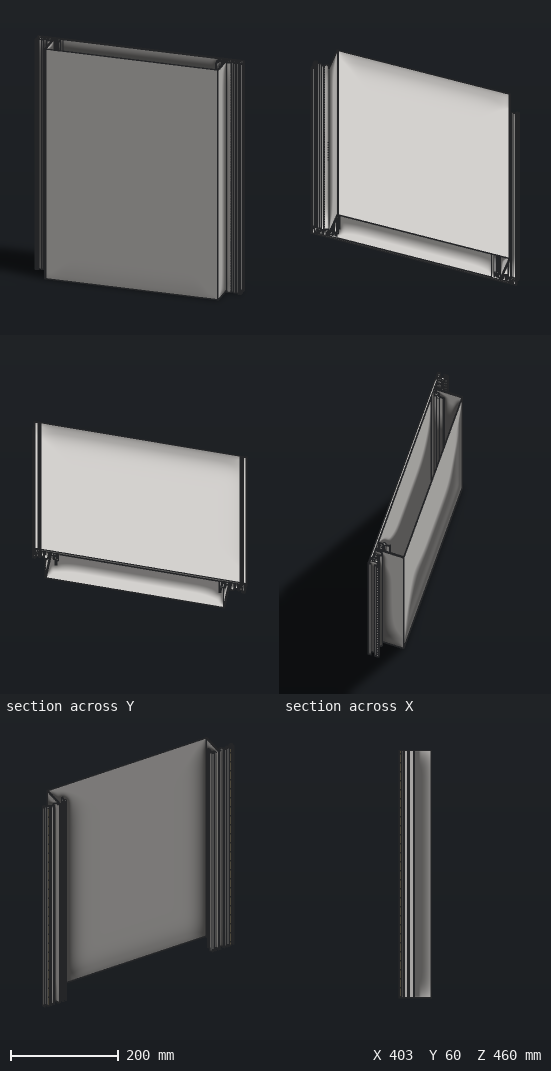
import cadquery as cq

HEIGHT = 460.0
WIDTH = 403.0
DEPTH = 60.0
HALF_WIDTH = WIDTH / 2

PANEL_THICKNESS = 4.0
SHEET_METAL = 1.0
WALL = 1.55

PANEL_INSET = 13.0
SHEET_INSET = 49.5
TRAY_INSET = 31.5
TRAY_BEND = 1.5

WEB_START = 6.7
WEB_WALL = 2.5
WEB_END = WEB_START + WEB_WALL
UPPER_LIP_END = 5.5
LOWER_LIP_START = 13.0
FLANGE_END = 18.0

PRONG_WIDTH = 2.0
PRONG_PITCH = 4.5
PRONG_SHOULDER = 20.2
PRONG_TIP = 21.4

INNER_WALL_START = 9.5
INNER_WALL_END = 11.0
INNER_WALL_TOP = 0.5
SLOT_END = 11.0
FLOOR_BOTTOM = 16.8
FLOOR_TOP = FLOOR_BOTTOM - WALL

PANEL_RIB_START = 14.05
PANEL_RIB_END = PANEL_RIB_START + WALL
BEAD_START = 20.0
BEAD_WIDTH = 2.8
BEAD_TOP = 5.5
BEAD_BOTTOM = 10.0
STEM_WIDTH = 1.5
CHORD_BOTTOM = 15.0
FOOT_START = 12.0
FOOT_MID_DEPTH = 17.7

BELLY_START = 20.5
BELLY_RADIUS = 4.5

CLIP_TOP = 8.05
UPRIGHT_START = 38.3
UPRIGHT_WALL = 2.55
CLIP_FLOOR_BOTTOM = 17.0
CLIP_BEVEL = 1.5
BLADE_START = 44.5
BLADE_BOTTOM = 28.0
NOSE_DEPTH = 16.5
NOSE_RADIUS = 2.8
TOE_LENGTH = 3.0
TOE_HEIGHT = 1.0


def at(inset, depth):
    """Point in the XY plane at an inset from the left edge and a depth behind the panel face."""
    return (inset - HALF_WIDTH, -depth)


def prism(corners):
    """Full-height solid over a polygon given as (inset, depth) corners."""
    return cq.Workplane("XY").polyline([at(*corner) for corner in corners]).close().extrude(HEIGHT)


def bar(inset_0, inset_1, depth_0, depth_1):
    """Full-height rectangular bar between two insets and two depths."""
    return prism([(inset_0, depth_0), (inset_1, depth_0), (inset_1, depth_1), (inset_0, depth_1)])


def joined(pieces):
    """One solid made of pieces that touch or overlap."""
    body = pieces[0]
    for piece in pieces[1:]:
        body = body.union(piece)
    return body


def make_panel():
    return bar(PANEL_INSET, WIDTH - PANEL_INSET, 0, PANEL_THICKNESS)


def make_backing_sheet():
    return bar(SHEET_INSET, WIDTH - SHEET_INSET, PANEL_THICKNESS, PANEL_THICKNESS + SHEET_METAL)


def make_tray():
    """U-shaped cover whose side walls run back to the panel."""
    block = bar(TRAY_INSET, WIDTH - TRAY_INSET, PANEL_THICKNESS, DEPTH)
    block = block.edges("|Z and <Y").fillet(TRAY_BEND)
    inner = TRAY_INSET + SHEET_METAL
    return block.cut(bar(inner, WIDTH - inner, PANEL_THICKNESS, DEPTH - SHEET_METAL))


def make_channel():
    """Outer channel with its lips and web, two tapered prongs and the floor that runs to the foot."""
    flange_top = FLANGE_END - WALL
    second_prong_end = PRONG_PITCH + PRONG_WIDTH
    return prism([
        (0, 0),
        (WEB_END, 0),
        (WEB_END, FLOOR_TOP),
        (FOOT_START, FLOOR_TOP),
        (FOOT_START, FLOOR_BOTTOM),
        (second_prong_end, FLOOR_BOTTOM),
        (second_prong_end, PRONG_SHOULDER),
        (PRONG_PITCH, PRONG_TIP),
        (PRONG_PITCH, FLANGE_END),
        (PRONG_WIDTH, FLANGE_END),
        (PRONG_WIDTH, PRONG_TIP),
        (0, PRONG_SHOULDER),
        (0, LOWER_LIP_START),
        (WALL, LOWER_LIP_START),
        (WALL, flange_top),
        (WEB_START, flange_top),
        (WEB_START, WALL),
        (WALL, WALL),
        (WALL, UPPER_LIP_END),
        (0, UPPER_LIP_END),
    ])


def make_inner_wall():
    """Wall beside the panel edge, joined to the channel web below the slot."""
    return joined([
        bar(INNER_WALL_START, INNER_WALL_END, INNER_WALL_TOP, FLOOR_BOTTOM),
        bar(WEB_END, INNER_WALL_END, SLOT_END, FLOOR_BOTTOM),
    ])


def make_foot():
    """Foot under the panel rib, with a rounded underside."""
    return (
        cq.Workplane("XY")
        .moveTo(*at(FOOT_START, FLOOR_TOP))
        .lineTo(*at(FOOT_START, FLANGE_END))
        .threePointArc(at((FOOT_START + PANEL_RIB_END) / 2, FOOT_MID_DEPTH), at(PANEL_RIB_END, FLOOR_BOTTOM))
        .lineTo(*at(PANEL_RIB_END, FLOOR_TOP))
        .close()
        .extrude(HEIGHT)
    )


def make_ribs():
    """Panel rib, and the bead rib that stands on the chord."""
    chord_top = CHORD_BOTTOM - WALL
    return joined([
        bar(PANEL_RIB_START, PANEL_RIB_END, PANEL_THICKNESS, FLOOR_BOTTOM),
        bar(PANEL_RIB_START, BELLY_START + WALL, chord_top, CHORD_BOTTOM),
        bar(BEAD_START, BEAD_START + STEM_WIDTH, BEAD_BOTTOM, chord_top),
        bar(BEAD_START, BEAD_START + BEAD_WIDTH, BEAD_TOP, BEAD_BOTTOM),
    ])


def make_belly():
    """Half-round trough that leaves the end of the chord and rises into a wall beside the tray."""
    belly_end = BELLY_START + 2 * BELLY_RADIUS
    center = BELLY_START + BELLY_RADIUS
    trough = (
        cq.Workplane("XY")
        .moveTo(*at(BELLY_START, CHORD_BOTTOM))
        .threePointArc(at(center, CHORD_BOTTOM + BELLY_RADIUS), at(belly_end, CHORD_BOTTOM))
        .lineTo(*at(belly_end - WALL, CHORD_BOTTOM))
        .threePointArc(at(center, CHORD_BOTTOM + BELLY_RADIUS - WALL), at(BELLY_START + WALL, CHORD_BOTTOM))
        .close()
        .extrude(HEIGHT)
    )
    return trough.union(bar(belly_end - WALL, belly_end, PANEL_THICKNESS, CHORD_BOTTOM))


def make_frame():
    return joined([make_channel(), make_inner_wall(), make_foot(), make_ribs(), make_belly()])


def make_clip_hook():
    """Leg lining the tray wall, and the arm, upright and floor that carry the blade."""
    leg_start = TRAY_INSET + SHEET_METAL
    floor_top = CLIP_FLOOR_BOTTOM - WALL
    upright_end = UPRIGHT_START + UPRIGHT_WALL
    floor = prism([
        (UPRIGHT_START, floor_top),
        (BLADE_START, floor_top),
        (BLADE_START, CLIP_FLOOR_BOTTOM),
        (UPRIGHT_START + CLIP_BEVEL, CLIP_FLOOR_BOTTOM),
        (UPRIGHT_START, CLIP_FLOOR_BOTTOM - CLIP_BEVEL),
    ])
    return joined([
        bar(leg_start, leg_start + WALL, PANEL_THICKNESS, DEPTH - SHEET_METAL),
        bar(leg_start, upright_end, CLIP_TOP, CLIP_TOP + WALL),
        bar(UPRIGHT_START, upright_end, CLIP_TOP, floor_top),
        floor,
    ])


def make_clip_blade():
    """Blade with a rounded nose part-way down and a toe at its end."""
    blade_end = BLADE_START + WALL
    nose = cq.Workplane("XY").center(*at(blade_end, NOSE_DEPTH)).circle(NOSE_RADIUS).extrude(HEIGHT)
    nose = nose.intersect(bar(BLADE_START, blade_end + NOSE_RADIUS, CLIP_TOP, BLADE_BOTTOM))
    return joined([
        bar(BLADE_START, blade_end, CLIP_TOP, BLADE_BOTTOM),
        nose,
        bar(BLADE_START, BLADE_START + TOE_LENGTH, BLADE_BOTTOM - TOE_HEIGHT, BLADE_BOTTOM),
    ])


def make_clip():
    return make_clip_hook().union(make_clip_blade())


def left_and_right(body):
    """A left-hand body and its mirror image on the right, as two solids."""
    return [body.val(), body.mirror("YZ").val()]


panel = make_panel()
backing_sheet = make_backing_sheet()
tray = make_tray()
frames = left_and_right(make_frame())
clips = left_and_right(make_clip())

result = cq.Compound.makeCompound([panel.val(), backing_sheet.val(), tray.val(), *frames, *clips])